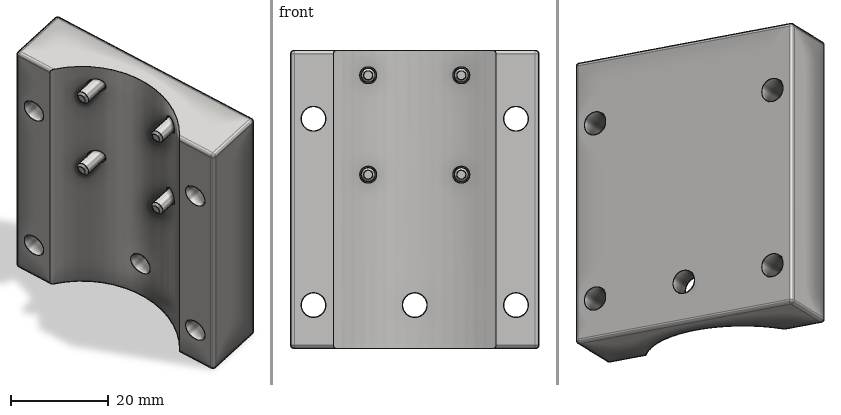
import cadquery as cq

block_width = 50.8
block_thickness = 13.97
block_height = 60.96
edge_radius = 0.762

saddle_radius = 20.0
saddle_depth = 8.89

mount_hole_diameter = 4.978
mount_hole_spacing_x = 41.402
mount_hole_spacing_z = 38.1
bottom_row_from_edge = 8.89

pin_diameter = 2.845
pin_length = 9.525
pin_tip_chamfer = 0.508
pin_tip_recess = 1.397
pin_hole_diameter = 3.454
pin_spacing_x = 19.05
pin_spacing_z = 20.32
pin_top_row_from_edge = 5.08

pin_floor_y = pin_tip_recess + pin_length

bottom_row_z = bottom_row_from_edge - block_height / 2
upper_row_z = bottom_row_z + mount_hole_spacing_z
mount_hole_places = [(0, bottom_row_z)]
for side in (-1, 1):
    for z in (bottom_row_z, upper_row_z):
        mount_hole_places.append((side * mount_hole_spacing_x / 2, z))

pin_top_z = block_height / 2 - pin_top_row_from_edge
pin_places = []
for side in (-1, 1):
    for z in (pin_top_z, pin_top_z - pin_spacing_z):
        pin_places.append((side * pin_spacing_x / 2, z))


def cylinder_along_y(x, z, diameter, front_y, back_y):
    """Round bar from front_y to back_y."""
    front_plane = cq.Plane(origin=(x, front_y, z), xDir=(1, 0, 0), normal=(0, 1, 0))
    return cq.Workplane(front_plane).circle(diameter / 2).extrude(back_y - front_y)


def make_saddle_cutter():
    """Upright cylinder that cuts the saddle to its depth."""
    axis_y = saddle_depth - saddle_radius
    return (
        cq.Workplane("XY", origin=(0, axis_y, -block_height / 2))
        .circle(saddle_radius)
        .extrude(block_height)
    )


def make_block():
    block = cq.Workplane("XY").box(
        block_width, block_thickness, block_height, centered=(True, False, True)
    )
    block = block.edges().fillet(edge_radius)
    block = block.cut(make_saddle_cutter())
    for x, z in mount_hole_places:
        block = block.cut(cylinder_along_y(x, z, mount_hole_diameter, 0, block_thickness))
    for x, z in pin_places:
        block = block.cut(cylinder_along_y(x, z, pin_hole_diameter, 0, pin_floor_y))
    return block


def make_pin(x, z):
    """Straight pin with a chamfered tip, its back end on the floor of its hole."""
    pin = cylinder_along_y(x, z, pin_diameter, pin_tip_recess, pin_floor_y)
    return pin.faces("<Y").chamfer(pin_tip_chamfer)


block = make_block()
pins = [make_pin(x, z) for x, z in pin_places]

result = cq.Compound.makeCompound([block.val(), *[pin.val() for pin in pins]])